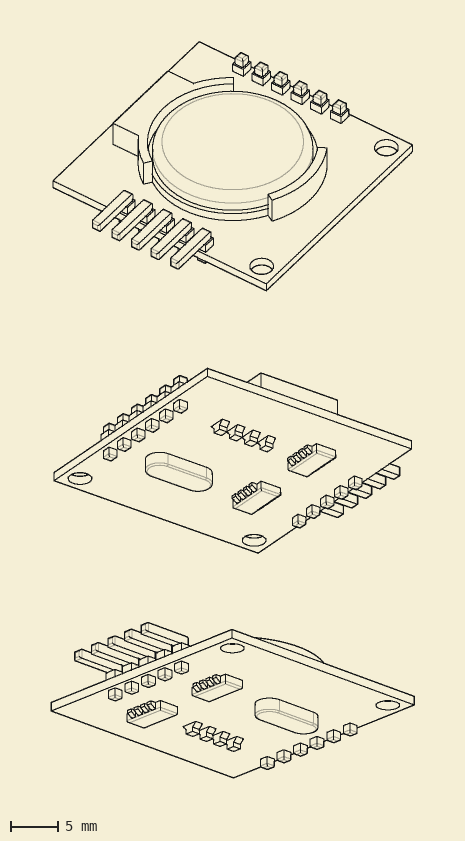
import cadquery as cq
import math

BOARD_X = 27.7
BOARD_Y = 26.65
BOARD_T = 1.0
FULL_Y = 31.2
HOLE_D = 2.5
HOLE_X = 11.85
HOLE_Y = 11.35

CELL_R = 8.5
CELL_FILLET = 1.0
BASE_R = 9.02
BASE_H = 1.0
HOLDER_R = 10.0
HOLDER_H = 3.03
WIDE_ARC_HALF_ANGLE = 55.0
NARROW_ARC_HALF_ANGLE = 30.0
TERMINAL_X = -12.0
TERMINAL_HALF_Y = HOLDER_R * math.sin(math.radians(NARROW_ARC_HALF_ANGLE))

PITCH = 2.54
PIN_W = 1.03
PIN_FILLET = 0.22
PIN_ROW_Y = 12.32
PIN_TAIL = 1.0
PAD_W = 1.4
PAD_H = 1.0
STRAIGHT_PINS = range(-3, 3)
BENT_PINS = range(-2, 3)

CHIP_X = 5.12
CHIP_Y = 2.5
CHIP_H = 1.0
CHIP_FILLET = 0.22
CHIP_CENTRES_X = (-6.33, 3.65)
CHIP_CENTRE_Y = -5.75
LEG_PITCH = 1.0
LEG_COUNT = 4
LEG_W = 0.6
LEG_REACH = 0.62
LEG_EDGE_H = 0.3
LEG_ROOT_H = 0.75

CRYSTAL_W = 3.03
CRYSTAL_L = 8.02
CRYSTAL_H = 1.47
CRYSTAL_X = 3.55
CRYSTAL_Y = 4.45
CRYSTAL_FILLET = 0.2

SMD_COUNT = 4
SMD_PITCH = 2.0
SMD_W = 0.97
SMD_BASE_L = 2.0
SMD_SLOPE = 0.5
SMD_H = 1.0
SMD_ROW_X = -6.33
SMD_ROW_Y = 3.18

UNDERSIDE = -BOARD_T


def block(size_x, size_y, z_low, z_high):
    """Box centred on the Z axis between two heights."""
    return (cq.Workplane("XY").workplane(offset=z_low)
            .rect(size_x, size_y).extrude(z_high - z_low))


def make_board():
    body = block(BOARD_X, BOARD_Y, UNDERSIDE, 0)
    return (body.faces(">Z").workplane()
            .pushPoints([(HOLE_X, HOLE_Y), (HOLE_X, -HOLE_Y)]).hole(HOLE_D))


def arc_wall(direction, half_angle):
    """Holder wall around the cell, centred on an angle from +X, in degrees."""
    def at(radius, offset):
        angle = math.radians(direction + offset)
        return (radius * math.cos(angle), radius * math.sin(angle))

    return (cq.Workplane("XY")
            .moveTo(*at(BASE_R, -half_angle))
            .lineTo(*at(HOLDER_R, -half_angle))
            .threePointArc(at(HOLDER_R, 0), at(HOLDER_R, half_angle))
            .lineTo(*at(BASE_R, half_angle))
            .threePointArc(at(BASE_R, 0), at(BASE_R, -half_angle))
            .close().extrude(HOLDER_H))


def make_cell_holder():
    base = cq.Workplane("XY").circle(BASE_R).extrude(BASE_H)
    cell = (cq.Workplane("XY").circle(CELL_R).extrude(HOLDER_H)
            .faces(">Z").edges().fillet(CELL_FILLET))
    terminal = (block(-TERMINAL_X, 2 * TERMINAL_HALF_Y, 0, HOLDER_H)
                .translate((TERMINAL_X / 2, 0, 0))
                .cut(cq.Workplane("XY").circle(BASE_R).extrude(HOLDER_H)))
    walls = arc_wall(180, WIDE_ARC_HALF_ANGLE).union(arc_wall(0, NARROW_ARC_HALF_ANGLE))
    return base.union(cell).union(terminal).union(walls)


def straight_pin():
    pin = (block(PIN_W, PIN_W, UNDERSIDE - PIN_TAIL, PAD_H + PIN_W)
           .faces("<Z or >Z").edges().fillet(PIN_FILLET))
    return pin.union(block(PAD_W, PAD_W, 0, PAD_H))


def bent_pin():
    """Pin that turns towards -Y above its pad and overhangs the board edge."""
    tip_y = BOARD_Y / 2 - FULL_Y + PIN_ROW_Y
    upright = (block(PIN_W, PIN_W, UNDERSIDE - PIN_TAIL, PAD_H)
               .faces("<Z").edges().fillet(PIN_FILLET))
    arm_length = PIN_W / 2 - tip_y
    arm = (block(PIN_W, arm_length, PAD_H, PAD_H + PIN_W)
           .translate((0, PIN_W / 2 - arm_length / 2, 0)))
    arm = arm.edges(">Y and >Z").fillet(PIN_FILLET)
    arm = arm.faces("<Y").edges().fillet(PIN_FILLET)
    return upright.union(block(PAD_W, PAD_W, 0, PAD_H)).union(arm)


def make_chip():
    """Chip hanging under the board with sloped legs on both long sides."""
    chip = (block(CHIP_X, CHIP_Y, UNDERSIDE - CHIP_H, UNDERSIDE)
            .faces("<Z").edges().fillet(CHIP_FILLET))
    root_y = CHIP_Y / 2
    outer_y = root_y + LEG_REACH
    leg_pair = (cq.Workplane("YZ")
                .moveTo(-outer_y, UNDERSIDE)
                .lineTo(-outer_y, UNDERSIDE - LEG_EDGE_H)
                .lineTo(-root_y, UNDERSIDE - LEG_ROOT_H)
                .lineTo(root_y, UNDERSIDE - LEG_ROOT_H)
                .lineTo(outer_y, UNDERSIDE - LEG_EDGE_H)
                .lineTo(outer_y, UNDERSIDE)
                .close().extrude(LEG_W / 2, both=True))
    for i in range(LEG_COUNT):
        leg_x = (i - (LEG_COUNT - 1) / 2) * LEG_PITCH
        chip = chip.union(leg_pair.translate((leg_x, 0, 0)))
    return chip


def make_crystal():
    return (cq.Workplane("XY").workplane(offset=UNDERSIDE)
            .slot2D(CRYSTAL_L, CRYSTAL_W, 90).extrude(-CRYSTAL_H)
            .faces("<Z").edges().fillet(CRYSTAL_FILLET)
            .translate((CRYSTAL_X, CRYSTAL_Y, 0)))


def make_smd():
    """Small component with sloped ends against the board."""
    base_x = SMD_BASE_L / 2
    body_x = base_x - SMD_SLOPE
    return (cq.Workplane("XZ")
            .moveTo(-base_x, UNDERSIDE)
            .lineTo(-body_x, UNDERSIDE - SMD_SLOPE)
            .lineTo(-body_x, UNDERSIDE - SMD_H)
            .lineTo(body_x, UNDERSIDE - SMD_H)
            .lineTo(body_x, UNDERSIDE - SMD_SLOPE)
            .lineTo(base_x, UNDERSIDE)
            .close().extrude(SMD_W / 2, both=True))


result = make_board().union(make_cell_holder())

for position in STRAIGHT_PINS:
    result = result.union(straight_pin().translate((position * PITCH, PIN_ROW_Y, 0)))
for position in BENT_PINS:
    result = result.union(bent_pin().translate((position * PITCH, -PIN_ROW_Y, 0)))

for chip_x in CHIP_CENTRES_X:
    result = result.union(make_chip().translate((chip_x, CHIP_CENTRE_Y, 0)))

result = result.union(make_crystal())

for i in range(SMD_COUNT):
    smd_y = SMD_ROW_Y + (i - (SMD_COUNT - 1) / 2) * SMD_PITCH
    result = result.union(make_smd().translate((SMD_ROW_X, smd_y, 0)))